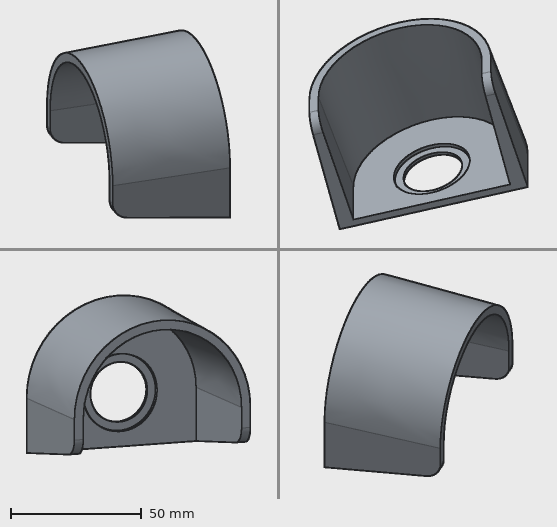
import cadquery as cq

length = 47.5
back_radius = 37.4
front_radius = 36.1
front_inner_radius = 32.5
back_inner_radius = 31.1
leg_depth = 21.5
front_leg_depth = 13.85
corner_radius = 6.9
plate_thickness = 2.8
bore_radius = 11.7
recess_radius = 15.1
recess_floor_radius = 14.95
recess_depth = plate_thickness / 2


def tapered_arch(front_y, start_radius, back_y, end_radius):
    """Solid with a half-round top and straight legs, tapering along Y."""

    def outline(sketch, radius):
        return (
            sketch.moveTo(-radius, -leg_depth)
            .lineTo(-radius, 0)
            .threePointArc((0, radius), (radius, 0))
            .lineTo(radius, -leg_depth)
            .close()
        )

    start = cq.Workplane("XZ", origin=(0, front_y, 0))
    front = outline(start, start_radius)
    return outline(front.workplane(offset=front_y - back_y), end_radius).loft(ruled=True, combine=True)


def side_envelope():
    """Side silhouette with sloping lower edges and rounded front corners."""
    return (
        cq.Workplane("YZ")
        .moveTo(0, back_radius)
        .lineTo(length, back_radius)
        .lineTo(length, -leg_depth)
        .lineTo(0, -front_leg_depth)
        .close()
        .extrude(back_radius, both=True)
        .faces("<Y")
        .edges("<Z")
        .fillet(corner_radius)
    )


def plate_opening():
    """Through bore with a shallow, slightly drafted recess on the inner face."""
    plate_front = length - plate_thickness
    bore = cq.Workplane("XZ", origin=(0, length, 0)).circle(bore_radius).extrude(plate_thickness)
    recess = (
        cq.Workplane("XZ", origin=(0, plate_front, 0))
        .circle(recess_radius)
        .workplane(offset=-recess_depth)
        .circle(recess_floor_radius)
        .loft(ruled=True, combine=True)
    )
    return bore.union(recess)


outer = tapered_arch(0, front_radius, length, back_radius)
cavity = tapered_arch(0, front_inner_radius, length - plate_thickness, back_inner_radius)
result = outer.cut(cavity).intersect(side_envelope()).cut(plate_opening())